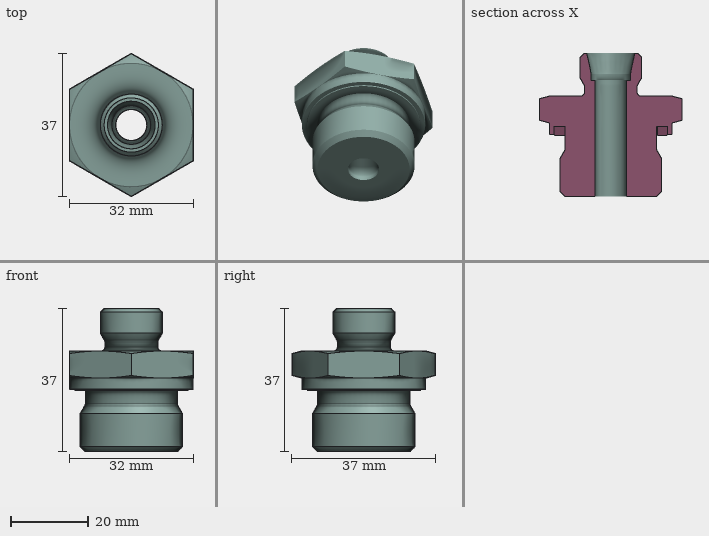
import cadquery as cq
import math

total_length = 37.0
stud_length = 16.0
hex_bottom = 19.0
hex_thickness = 7.0
hex_top = hex_bottom + hex_thickness

hex_across_flats = 32.0
hex_across_corners = hex_across_flats / math.cos(math.radians(30))
hex_chamfer_angle = 15.0
hex_face_diameter = 31.9

collar_diameter = 31.9
collar_bevel_width = 0.1
collar_bevel_height = 0.2

undercut_angle = 30.0
stud_diameter = 26.41
stud_neck_diameter = 23.8
stud_chamfer = (stud_diameter - stud_neck_diameter) / 2
stud_thread_top = 9.83
stud_neck_blend_radius = 1.2

tube_end_diameter = 16.0
tube_neck_diameter = 13.7
tube_end_chamfer = 1.0
tube_thread_length = 6.4
tube_neck_blend_radius = 1.0
tube_neck_root_radius = 1.0

bore_diameter = 8.0
socket_diameter = 10.0
socket_mouth_diameter = 12.3
socket_half_angle = 12.0
socket_depth = 7.0

groove_outer_diameter = 29.3
groove_depth = 2.0
seal_inner_diameter = 23.9
seal_outer_diameter = 29.2
seal_projection = 0.27


def revolve_about_z(profile):
    """Close a half profile drawn in XZ and turn it around the Z axis."""
    return profile.close().revolve(360, (0, 0, 0), (0, 1, 0))


def add_blended_undercut(profile, thread_diameter, neck_diameter, thread_z, blend_radius, neck_above):
    """Carry the profile upwards through a run-out cone that blends tangentially into the neck."""
    direction = 1 if neck_above else -1
    angle = math.radians(undercut_angle)
    thread_radius = thread_diameter / 2
    neck_radius = neck_diameter / 2
    cone_height = (thread_radius - neck_radius) / math.tan(angle)
    tangent_length = blend_radius * math.tan(angle / 2)
    tangent_z = thread_z + direction * (cone_height + tangent_length)

    def blend_point(turn):
        return (
            neck_radius + blend_radius * (1 - math.cos(turn)),
            tangent_z - direction * blend_radius * math.sin(turn),
        )

    neck_point = blend_point(0)
    middle_point = blend_point(angle / 2)
    cone_point = blend_point(angle)
    thread_point = (thread_radius, thread_z)
    if neck_above:
        return profile.lineTo(*thread_point).lineTo(*cone_point).threePointArc(middle_point, neck_point)
    return profile.lineTo(*neck_point).threePointArc(middle_point, cone_point).lineTo(*thread_point)


def make_stud():
    """Lower threaded end with its neck, running up into the collar."""
    radius = stud_diameter / 2
    profile = cq.Workplane("XZ").lineTo(radius - stud_chamfer, 0).lineTo(radius, stud_chamfer)
    profile = add_blended_undercut(
        profile, stud_diameter, stud_neck_diameter, stud_thread_top, stud_neck_blend_radius, True
    )
    profile = profile.lineTo(stud_neck_diameter / 2, hex_bottom).lineTo(0, hex_bottom)
    return revolve_about_z(profile)


def make_collar():
    """Bevelled collar with the seal groove open towards the stud."""
    radius = collar_diameter / 2
    groove_top = stud_length + groove_depth
    profile = (
        cq.Workplane("XZ")
        .moveTo(groove_outer_diameter / 2, stud_length)
        .lineTo(radius - collar_bevel_width, stud_length)
        .lineTo(radius, stud_length + collar_bevel_height)
        .lineTo(radius, hex_bottom)
        .lineTo(0, hex_bottom)
        .lineTo(0, groove_top)
        .lineTo(groove_outer_diameter / 2, groove_top)
    )
    return revolve_about_z(profile)


def make_hexagon():
    """Hexagon with two flats facing X and conically chamfered corners at both ends."""
    prism = (
        cq.Workplane("XY")
        .workplane(offset=hex_bottom)
        .polygon(6, hex_across_corners)
        .extrude(hex_thickness)
        .rotate((0, 0, 0), (0, 0, 1), 30)
    )
    face_radius = hex_face_diameter / 2
    corner_radius = hex_across_corners / 2
    chamfer_height = (corner_radius - face_radius) * math.tan(math.radians(hex_chamfer_angle))
    envelope = (
        cq.Workplane("XZ")
        .moveTo(0, hex_bottom)
        .lineTo(face_radius, hex_bottom)
        .lineTo(corner_radius, hex_bottom + chamfer_height)
        .lineTo(corner_radius, hex_top - chamfer_height)
        .lineTo(face_radius, hex_top)
        .lineTo(0, hex_top)
    )
    return prism.intersect(revolve_about_z(envelope))


def make_tube_end():
    """Upper threaded end with its neck, rounded into the hexagon's top face."""
    radius = tube_end_diameter / 2
    root_center_radius = tube_neck_diameter / 2 + tube_neck_root_radius
    root_center_z = hex_top + tube_neck_root_radius
    root_diagonal = tube_neck_root_radius * math.cos(math.radians(45))
    profile = (
        cq.Workplane("XZ")
        .moveTo(0, hex_top)
        .lineTo(root_center_radius, hex_top)
        .threePointArc(
            (root_center_radius - root_diagonal, root_center_z - root_diagonal),
            (tube_neck_diameter / 2, root_center_z),
        )
    )
    thread_z = total_length - tube_thread_length
    profile = add_blended_undercut(
        profile, tube_end_diameter, tube_neck_diameter, thread_z, tube_neck_blend_radius, False
    )
    profile = (
        profile.lineTo(radius, total_length - tube_end_chamfer)
        .lineTo(radius - tube_end_chamfer, total_length)
        .lineTo(0, total_length)
    )
    return revolve_about_z(profile)


def make_bore():
    """Through bore, tube socket and conical mouth as one cutting tool."""
    cone_depth = (socket_mouth_diameter - socket_diameter) / 2 / math.tan(math.radians(socket_half_angle))
    socket_floor = total_length - socket_depth
    profile = (
        cq.Workplane("XZ")
        .lineTo(bore_diameter / 2, 0)
        .lineTo(bore_diameter / 2, socket_floor)
        .lineTo(socket_diameter / 2, socket_floor)
        .lineTo(socket_diameter / 2, total_length - cone_depth)
        .lineTo(socket_mouth_diameter / 2, total_length)
        .lineTo(0, total_length)
    )
    return revolve_about_z(profile)


def make_fitting_body():
    """Complete stud fitting."""
    solid = make_stud().union(make_collar()).union(make_hexagon()).union(make_tube_end())
    return solid.cut(make_bore()).solids()


def make_seal_ring():
    """Flat ring seated on the groove floor and standing slightly out of the collar face."""
    return (
        cq.Workplane("XY")
        .workplane(offset=stud_length - seal_projection)
        .circle(seal_outer_diameter / 2)
        .circle(seal_inner_diameter / 2)
        .extrude(groove_depth + seal_projection)
    )


fitting_body = make_fitting_body()
seal_ring = make_seal_ring()

result = cq.Compound.makeCompound([fitting_body.val(), seal_ring.val()])